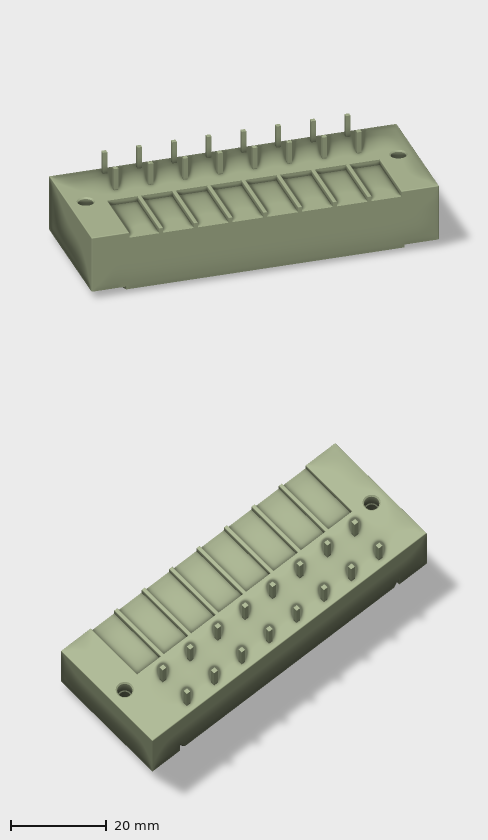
import cadquery as cq

body_width = 29.0
body_height = 12.7
pitch = 7.62
position_count = 8
end_cap_length = pitch
cover_length = position_count * pitch
body_length = cover_length + 2 * end_cap_length
edge_radius = 0.2

pin_size = 1.0
pin_height = 5.0
pin_row_count = 2
pin_first_row_x = 2.1
pin_row_spacing = pitch

pocket_start_x = 14.2
pocket_depth = 1.25
rib_width = 0.9
rim_radius = 0.2
end_wall_inset = 0.65

hole_x = 13.1
hole_end_offset = end_cap_length / 2
hole_diameter = 2.6
counterbore_diameter = 3.2
counterbore_depth = 3.0
counterbore_chamfer = 0.3

plate_start_x = 13.5
plate_thickness = 0.67
lip_start_x = 26.2
lip_drop = 0.92

cover_bevel = 0.3
notch_depth = 1.0
notch_length = 1.3
notch_height = 2.1


def position_y(index):
    """Y of the centre of one connector position."""
    return end_cap_length + (index + 0.5) * pitch


def make_body():
    block = cq.Workplane("XY").box(body_width, body_length, body_height, centered=False)
    return block.edges(">Z or (>X and |Z)").fillet(edge_radius)


def make_pocket(index):
    """Cutter for one open-ended pocket, flared so that its rims come out rounded."""
    low_inset = end_wall_inset if index == 0 else rib_width / 2
    high_inset = end_wall_inset if index == position_count - 1 else rib_width / 2
    low_y = position_y(index) - pitch / 2 + low_inset
    high_y = position_y(index) + pitch / 2 - high_inset
    floor_z = body_height - pocket_depth
    rim_z = body_height - rim_radius
    return (
        cq.Workplane("YZ", origin=(pocket_start_x, 0, 0))
        .moveTo(low_y, floor_z)
        .lineTo(high_y, floor_z)
        .lineTo(high_y, rim_z)
        .radiusArc((high_y + rim_radius, body_height), rim_radius)
        .lineTo(low_y - rim_radius, body_height)
        .radiusArc((low_y, rim_z), rim_radius)
        .close()
        .extrude(body_width - pocket_start_x)
    )


def make_pins():
    points = [
        (pin_first_row_x + row * pin_row_spacing, position_y(index))
        for row in range(pin_row_count)
        for index in range(position_count)
    ]
    return (
        cq.Workplane("XY", origin=(0, 0, body_height))
        .pushPoints(points)
        .rect(pin_size, pin_size)
        .extrude(pin_height)
    )


def make_cover_plate():
    """Thin plate with a wedge-shaped lip along its outer edge."""
    return (
        cq.Workplane("XZ", origin=(0, end_cap_length, 0))
        .polyline([
            (plate_start_x, 0),
            (plate_start_x, -plate_thickness),
            (lip_start_x, -plate_thickness),
            (lip_start_x, -plate_thickness - lip_drop),
            (body_width, -plate_thickness),
            (body_width, 0),
        ])
        .close()
        .extrude(-cover_length)
    )


def make_notch(cap_y, inward):
    """Triangular notch beside an end cap; inward is the Y sign toward the middle."""
    return (
        cq.Workplane("YZ")
        .polyline([(cap_y, 0), (cap_y, notch_height), (cap_y + inward * notch_length, 0)])
        .close()
        .extrude(notch_depth)
    )


def bevel_cover_edge(part):
    """Bevel the lower pin-side edge and the two sloping notch edges that continue it."""
    margin = notch_length / 4
    cover_edges = cq.selectors.BoxSelector(
        (-margin, end_cap_length + margin, -margin),
        (margin, body_length - end_cap_length - margin, notch_height),
    )
    return part.edges(cover_edges).chamfer(cover_bevel)


def make_hole(center_y):
    """Through hole with a counterbore from the top and a chamfered mouth."""
    through_radius = hole_diameter / 2
    bore_radius = counterbore_diameter / 2
    bore_floor_z = body_height - counterbore_depth
    return (
        cq.Workplane("XZ", origin=(hole_x, center_y, 0))
        .polyline([
            (0, 0),
            (through_radius, 0),
            (through_radius, bore_floor_z),
            (bore_radius, bore_floor_z),
            (bore_radius, body_height - counterbore_chamfer),
            (bore_radius + counterbore_chamfer, body_height),
            (0, body_height),
        ])
        .close()
        .revolve(360, (0, 0, 0), (0, 1, 0))
    )


result = make_body().union(make_cover_plate()).union(make_pins())
for position in range(position_count):
    result = result.cut(make_pocket(position))
result = result.cut(make_notch(end_cap_length, 1))
result = result.cut(make_notch(body_length - end_cap_length, -1))
result = bevel_cover_edge(result)
for end_y in (hole_end_offset, body_length - hole_end_offset):
    result = result.cut(make_hole(end_y))